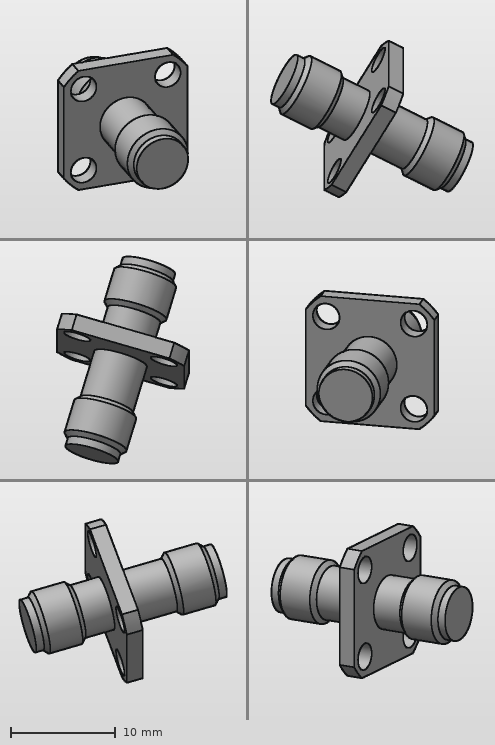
import cadquery as cq

length = 19.2
barrel_diameter = 5.28

collar_diameter = 6.22
collar_length = 4.2
collar_inset = 0.79
collar_chamfer = (collar_diameter - barrel_diameter) / 2

flange_width = 12.7
flange_thickness = 1.61
flange_start = 7.9
flange_corner_diameter = 16.0

hole_diameter = 2.61
hole_spacing = 8.64


def cylinder_along_x(start, cylinder_length, diameter):
    return cq.Workplane("YZ", origin=(start, 0, 0)).circle(diameter / 2).extrude(cylinder_length)


def collar(start):
    return cylinder_along_x(start, collar_length, collar_diameter).edges("%CIRCLE").chamfer(collar_chamfer)


def flange():
    square_plate = (
        cq.Workplane("YZ", origin=(flange_start, 0, 0))
        .rect(flange_width, flange_width)
        .extrude(flange_thickness)
    )
    corner_disc = cylinder_along_x(flange_start, flange_thickness, flange_corner_diameter)
    mounting_holes = (
        cq.Workplane("YZ", origin=(flange_start, 0, 0))
        .rect(hole_spacing, hole_spacing, forConstruction=True)
        .vertices()
        .circle(hole_diameter / 2)
        .extrude(flange_thickness)
    )
    return square_plate.intersect(corner_disc).cut(mounting_holes)


result = cylinder_along_x(0, length, barrel_diameter).union(flange())
for collar_start in (collar_inset, length - collar_inset - collar_length):
    result = result.union(collar(collar_start))